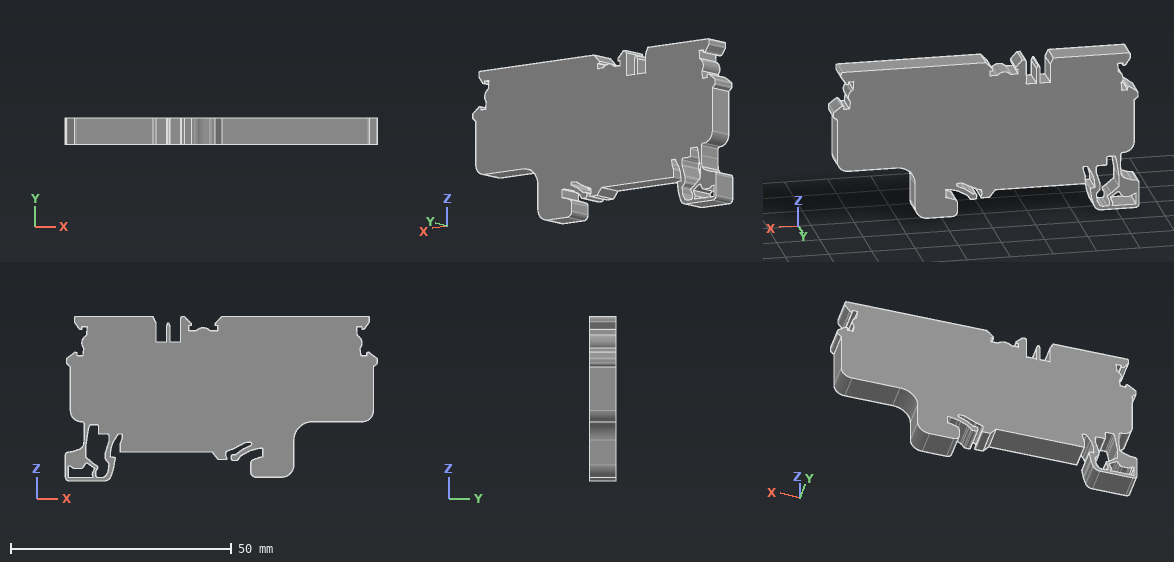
import cadquery as cq
import math


length = 70.8
thickness = 6.0
height = 37.4

center_x = 35.55
wall_left = 1.1
wall_right = 2 * center_x - wall_left
end_hook_x = 2 * center_x - length
shoulder_z = 13.45
shoulder_radius = 2.55
rail_seat_z = 6.6

slot_left = 20.6
slot_right = 26.1
slot_floor_z = 31.6
left_lead_in_width = 0.7
left_lead_in_height = 1.5
right_lead_in_width = 0.2
right_lead_in_height = 0.6
blade_x = (slot_left + slot_right) / 2
blade_width = 0.85
blade_top_z = 35.9
blade_tip_width = 0.3
blade_taper = 0.8

groove_x = 31.3
groove_floor_z = 34.1
groove_half_width = 3.25
groove_mouth_half_width = 2.7
groove_top_half_width = 4.25
hook_lower_z = 35.25
hook_upper_z = 35.75
bump_half_width = 1.55
bump_height = 0.7
bump_fillet = 0.6

foot_bottom_z = 0.85
foot_right = 51.9
foot_left = 42.05
foot_radius = 2.8
foot_blend_radius = 4.2

clip_wall = 0.7
clip_floor_z = 0.85
release_top_z = 3.4


def corner_arc(previous, corner, following):
    """Start, middle and end of the tangent arc that rounds a corner."""
    x, z, radius = corner
    ax, az = previous[0] - x, previous[1] - z
    bx, bz = following[0] - x, following[1] - z
    a_len = math.hypot(ax, az)
    b_len = math.hypot(bx, bz)
    ax, az, bx, bz = ax / a_len, az / a_len, bx / b_len, bz / b_len
    half_angle = math.acos(ax * bx + az * bz) / 2
    setback = radius / math.tan(half_angle)
    middle_distance = radius / math.sin(half_angle) - radius
    mid_x, mid_z = ax + bx, az + bz
    mid_len = math.hypot(mid_x, mid_z)
    start = (x + ax * setback, z + az * setback)
    middle = (x + mid_x / mid_len * middle_distance, z + mid_z / mid_len * middle_distance)
    end = (x + bx * setback, z + bz * setback)
    return start, middle, end


def extruded(corners):
    """Solid across the full thickness from a closed list of corners; the first one is sharp."""
    profile = cq.Workplane("XZ").moveTo(*corners[0])
    for i in range(1, len(corners)):
        corner = corners[i]
        if len(corner) == 2:
            profile = profile.lineTo(*corner)
            continue
        following = corners[(i + 1) % len(corners)]
        start, middle, end = corner_arc(corners[i - 1], corner, following)
        profile = profile.lineTo(*start).threePointArc(middle, end)
    return profile.close().extrude(-thickness)


def mirrored(corners, axis_x):
    """The same corners reflected about a vertical line, in reverse order."""
    return [(2 * axis_x - corner[0], *corner[1:]) for corner in reversed(corners)]


left_end = [
    (2.05, height, 0.35),
    (2.05, 36.1, 0.2),
    (3.2, 34.5, 0.2),
    (3.75, 34.4),
    (3.75, 35.0),
    (4.95, 35.0),
    (4.8, 33.1),
    (3.05, 31.6, 1.85),
    (4.2, 30.15),
    (4.0, 28.45),
    (2.7, 28.45),
    (2.7, 29.1),
    (2.3, 29.3, 0.2),
    (end_hook_x, 27.8, 0.3),
    (end_hook_x, 26.7, 0.2),
    (wall_left, 25.9),
]

clip_outline = [
    (4.25, shoulder_z, 0.5),
    (4.3, 9.4, 14.9),
    (4.1, 8.1),
    (3.5, 7.35, 0.4),
    (1.7, 6.7, 1.05),
    (0, 6.5, 0.7),
    (0, 0, 1.0),
    (10.05, 0, 1.7),
    (11.0, 2.8, 2.8),
    (11.4, 5.4, 0.2),
    (10.3, 5.5),
    (10.35, 7.15, 3.55),
    (10.8, 8.8, 3.55),
    (12.05, 10.7, 0.2),
    (12.95, 10.7, 0.15),
    (12.9, 9.7, 0.7),
    (12.45, 8.5, 0.7),
    (12.45, rail_seat_z, 0.15),
]

finger_outline = [
    (33.35, rail_seat_z),
    (34.7, 4.9),
    (36.8, 4.9, 0.2),
    (36.4, 5.95, 0.35),
    (36.5, 6.7, 0.3),
    (38.1, 7.3, 1.4),
    (41.0, 8.8, 1.4),
    (42.35, 8.8, 0.25),
    (42.2, 8.15, 0.2),
    (40.35, 7.3, 1.4),
    (38.65, 6.0, 0.4),
    (37.6, 6.0, 0.5),
    (37.7, 4.7, 0.5),
    (39.1, 4.7, 0.4),
    (39.85, 5.7, 1.05),
    (42.05, 6.95, 2.8),
    (44.1, 7.4, 0.7),
    (44.8, 7.4),
    (44.8, 5.5),
    (44.25, 5.45),
]

foot_outline = [
    (foot_left, 4.7, 0.9),
    (foot_left, foot_bottom_z, 1.3),
    (foot_right, foot_bottom_z, foot_radius),
    (foot_right, shoulder_z, foot_blend_radius),
    (wall_right, shoulder_z, shoulder_radius),
]

groove_right = [
    (groove_x + groove_top_half_width, height),
    (groove_x + groove_mouth_half_width, hook_upper_z),
    (groove_x + groove_mouth_half_width, hook_lower_z),
    (groove_x + groove_half_width, hook_lower_z),
    (groove_x + groove_half_width, groove_floor_z),
]
groove_left = mirrored(groove_right, groove_x)

slot_outline = [
    (slot_right + right_lead_in_width, height),
    (slot_right, height - right_lead_in_height),
    (slot_right, slot_floor_z),
    (slot_left, slot_floor_z),
    (slot_left, height - left_lead_in_height),
    (slot_left - left_lead_in_width, height),
]

body = extruded(
    [left_end[-1], (wall_left, shoulder_z, shoulder_radius)]
    + clip_outline
    + finger_outline
    + foot_outline
    + mirrored(left_end, center_x)
    + groove_right
    + groove_left
    + slot_outline
    + left_end[:-1]
)


def add_marker_bump(solid):
    """Add a round rib along the groove floor and blend its two feet into the floor."""
    left_foot_x = groove_x - bump_half_width
    right_foot_x = groove_x + bump_half_width
    crest = (groove_x, groove_floor_z + bump_height)
    bump = (
        cq.Workplane("XZ")
        .moveTo(left_foot_x, groove_floor_z)
        .threePointArc(crest, (right_foot_x, groove_floor_z))
        .close()
        .extrude(-thickness)
    )
    joined = solid.union(bump)
    for foot_x in (left_foot_x, right_foot_x):
        foot = (foot_x, thickness / 2, groove_floor_z)
        joined = joined.edges(cq.selectors.NearestToPointSelector(foot)).fillet(bump_fillet)
    return joined


def contact_blade():
    """Thin blade with a tapered tip, standing on the slot floor."""
    right_half = [
        (blade_x + blade_tip_width / 2, blade_top_z),
        (blade_x + blade_width / 2, blade_top_z - blade_taper),
        (blade_x + blade_width / 2, slot_floor_z),
    ]
    return extruded(right_half + mirrored(right_half, blade_x))


def clip_window():
    """Opening between the two legs of the spring clip."""
    return extruded([
        (5.25, 11.6),
        (5.5, 12.75, 0.35),
        (7.5, 12.75, 0.2),
        (7.5, 10.7, 0.2),
        (9.9, 10.7, 0.4),
        (9.9, 9.05, 0.6),
        (9.05, 6.4, 1.05),
        (9.05, 5.0, 0.4),
        (9.9, 4.0, 0.4),
        (9.7, 2.1, 1.4),
        (8.9, clip_floor_z, 1.0),
        (6.95, clip_floor_z, 0.4),
        (6.95, 2.1, 0.35),
        (7.5, 3.25, 0.35),
        (6.5, 3.9),
        (4.7, 5.45, 0.15),
        (4.7, 7.85),
    ])


def release_window():
    """Screwdriver opening at the bottom of the spring clip."""
    return extruded([
        (clip_wall, clip_floor_z),
        (6.3, clip_floor_z),
        (6.1, 1.55),
        (6.65, 2.9),
        (4.75, 4.25, 0.35),
        (3.9, 2.8, 0.7),
        (1.9, 2.8, 0.7),
        (1.1, release_top_z),
        (clip_wall, release_top_z),
    ])


result = (
    add_marker_bump(body)
    .union(contact_blade())
    .cut(clip_window())
    .cut(release_window())
)